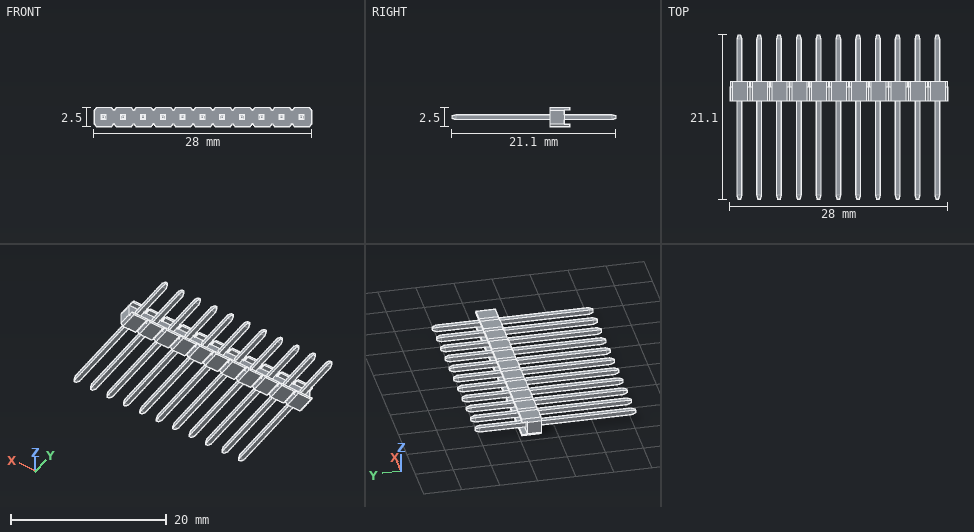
import cadquery as cq

pin_count = 11
row_length = 27.95
pitch = row_length / pin_count

body_height = 2.5
body_depth = 2.55
bevel_width = 0.3
bevel_height = 0.4

flange_thickness = 0.34
recess_depth = 0.7

pin_width = 0.65
pin_offset = -0.08
pin_tip_width = 0.34
pin_taper_length = 0.53
front_pin_length = 12.6
total_depth = 21.1

pin_front_y = -front_pin_length
cell_positions = [(i - (pin_count - 1) / 2) * pitch for i in range(pin_count)]


def prism_along_y(outline, start_y, end_y):
    """Extrude an outline of (x, z) points from start_y to end_y."""
    return cq.Workplane("XZ", origin=(0, start_y, 0)).polyline(outline).close().extrude(start_y - end_y)


def make_body():
    """Row of bevelled cells whose bevels meet as V notches, with a channel along the rear."""
    half_height = body_height / 2
    shoulder_z = half_height - bevel_height
    half_pitch = pitch / 2
    half_flat = half_pitch - bevel_width

    upper_edge = [(cell_positions[0] - half_pitch, shoulder_z)]
    for x in cell_positions:
        upper_edge += [
            (x - half_flat, half_height),
            (x + half_flat, half_height),
            (x + half_pitch, shoulder_z),
        ]
    lower_edge = [(x, -z) for x, z in reversed(upper_edge)]
    body = prism_along_y(upper_edge + lower_edge, 0, body_depth)

    channel_height = body_height - 2 * flange_thickness
    channel = cq.Workplane("XY").box(row_length, recess_depth, channel_height)
    return body.cut(channel.translate((0, body_depth - recess_depth / 2, 0)))


def make_pin(x):
    """Square pin along Y, tapered to a smaller square at both ends."""
    shank_length = total_depth - 2 * pin_taper_length
    shank_front_y = pin_front_y + pin_taper_length
    shank = cq.Workplane("XY").box(pin_width, shank_length, pin_width)
    pin = shank.translate((0, shank_front_y + shank_length / 2, 0))
    for face in ("<Y", ">Y"):
        tip = (
            pin.faces(face).workplane(origin=(0, 0, 0))
            .rect(pin_width, pin_width)
            .workplane(offset=pin_taper_length)
            .rect(pin_tip_width, pin_tip_width)
            .loft(combine=False)
        )
        pin = pin.union(tip)
    return pin.translate((x, 0, 0))


result = make_body()
for cell_x in cell_positions:
    result = result.union(make_pin(cell_x + pin_offset))